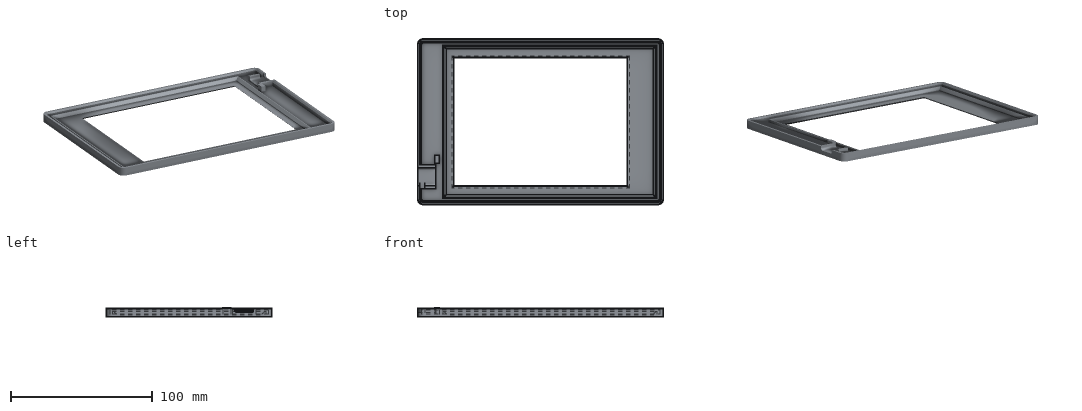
import cadquery as cq

LENGTH = 173.3
WIDTH = 116.8
TAB_TOP_Z = 6.5
TAB_RISE = 0.6
FRAME_HEIGHT = TAB_TOP_Z - TAB_RISE
CORNER_RADIUS = 4.2

RIM_TOP_WIDTH = 1.5
RIM_SLOPE = 1.0
FLOOR_Z = 2.0

RIDGE_LEFT = -69.0
RIDGE_RIGHT = 82.0
RIDGE_LENGTH_Y = 108.0
RIDGE_TOP_Z = 4.2
RIDGE_TOP_WIDTH = 0.6
SEAT_SLOPE = 1.9
LEDGE_Z = 1.47

WINDOW_X = 122.3
WINDOW_Y = 90.5

BLOCK_END_X = -73.8
BLOCK_WALL = 1.9
TROUGH_Y = -38.8
TROUGH_WIDTH = 12.8
TROUGH_FLOOR_Z = 3.1
TROUGH_RADIUS = 1.7

GAP_START_X = -85.3
GAP_END_X = -81.8

TAB_LEFT = -74.5
TAB_RIGHT = -71.4
TAB_FRONT = -29.3
TAB_BACK = -23.7

LEFT = -LENGTH / 2
BLOCK_WIDTH = TROUGH_WIDTH + 2 * BLOCK_WALL
BLOCK_FRONT = TROUGH_Y - BLOCK_WIDTH / 2
BLOCK_BACK = TROUGH_Y + BLOCK_WIDTH / 2
TROUGH_FRONT = TROUGH_Y - TROUGH_WIDTH / 2
TROUGH_BACK = TROUGH_Y + TROUGH_WIDTH / 2


def box(x0, x1, y0, y1, z0, z1):
    """Axis-aligned box between two opposite corners."""
    return cq.Workplane("XY").box(x1 - x0, y1 - y0, z1 - z0, centered=False).translate((x0, y0, z0))


def rounded_plate(inset, z0, z1):
    """Frame outline moved inward by inset, extruded from z0 to z1."""
    plate = box(LEFT + inset, -LEFT - inset, inset - WIDTH / 2, WIDTH / 2 - inset, z0, z1)
    return plate.edges("|Z").fillet(CORNER_RADIUS - inset)


def frame():
    """Tray with a sloped inner edge along the top of its rim."""
    wall_inset = RIM_TOP_WIDTH + RIM_SLOPE
    pocket = rounded_plate(wall_inset, FLOOR_Z, FRAME_HEIGHT)
    tray = rounded_plate(0, 0, FRAME_HEIGHT).cut(pocket)
    top_wires = tray.faces(">Z").wires().vals()
    inner_wire = min(top_wires, key=lambda wire: wire.Length())
    return tray.newObject(inner_wire.Edges()).chamfer(RIM_SLOPE)


def display_ridge():
    """Solid block filling the ridge outline up to the ridge top."""
    half_y = RIDGE_LENGTH_Y / 2
    return box(RIDGE_LEFT, RIDGE_RIGHT, -half_y, half_y, 0, RIDGE_TOP_Z)


def display_seat():
    """Recess inside the ridge: a 45 degree taper above a straight-walled bottom."""
    length = RIDGE_RIGHT - RIDGE_LEFT - 2 * RIDGE_TOP_WIDTH
    width = RIDGE_LENGTH_Y - 2 * RIDGE_TOP_WIDTH
    center_x = (RIDGE_LEFT + RIDGE_RIGHT) / 2
    lower_length = length - 2 * SEAT_SLOPE
    lower_width = width - 2 * SEAT_SLOPE
    taper = (
        cq.Workplane("XY", origin=(center_x, 0, RIDGE_TOP_Z))
        .rect(length, width)
        .workplane(offset=-SEAT_SLOPE)
        .rect(lower_length, lower_width)
        .loft(ruled=True)
    )
    straight = (
        cq.Workplane("XY", origin=(center_x, 0, LEDGE_Z))
        .rect(lower_length, lower_width)
        .extrude(RIDGE_TOP_Z - SEAT_SLOPE - LEDGE_Z)
    )
    return taper.union(straight)


def display_window():
    """Opening whose edge is a 45 degree bevel, widest at the underside."""
    return (
        cq.Workplane("XY")
        .rect(WINDOW_X + 2 * LEDGE_Z, WINDOW_Y + 2 * LEDGE_Z)
        .workplane(offset=LEDGE_Z)
        .rect(WINDOW_X, WINDOW_Y)
        .loft(ruled=True)
    )


def connector_trough():
    """Trough along X, open upward, with rounded lower edges."""
    trough = box(LEFT, BLOCK_END_X, TROUGH_FRONT, TROUGH_BACK, TROUGH_FLOOR_Z, FRAME_HEIGHT)
    return trough.edges("|X and <Z").fillet(TROUGH_RADIUS)


block = box(LEFT + RIM_TOP_WIDTH / 2, BLOCK_END_X, BLOCK_FRONT, BLOCK_BACK, 0, FRAME_HEIGHT)
wall_gap = box(GAP_START_X, GAP_END_X, BLOCK_FRONT, TROUGH_Y, TROUGH_FLOOR_Z, FRAME_HEIGHT)
tab = box(TAB_LEFT, TAB_RIGHT, TAB_FRONT, TAB_BACK, 0, TAB_TOP_Z)

result = (
    frame()
    .union(display_ridge())
    .cut(display_seat())
    .cut(display_window())
    .union(block)
    .cut(connector_trough())
    .cut(wall_gap)
    .union(tab)
)